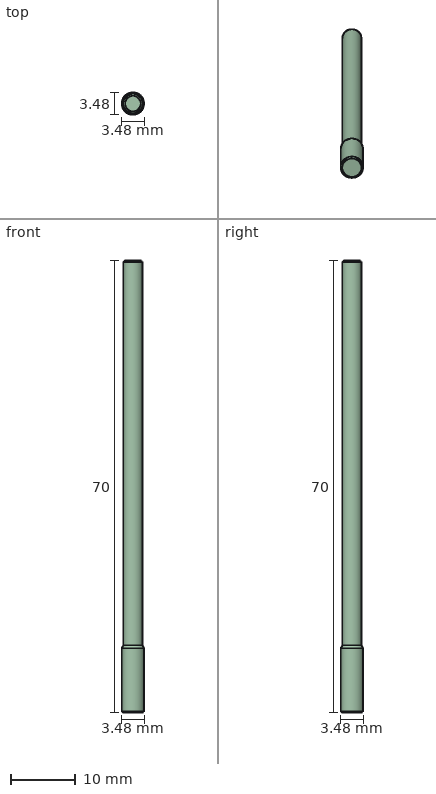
import cadquery as cq
import math

total_length = 70.0

head_diameter = 3.48
head_length = 10.0
head_corner_chamfer = 0.25

shank_diameter = 3.0
shank_end_chamfer = 0.3
neck_half_angle = 30.0

head_radius = head_diameter / 2
shank_radius = shank_diameter / 2
neck_height = (head_radius - shank_radius) / math.tan(math.radians(neck_half_angle))


def make_cutting_head():
    """Plain cylinder with a chamfered corner at its bottom end."""
    head = cq.Workplane("XY").circle(head_radius).extrude(head_length)
    return head.faces("<Z").edges().chamfer(head_corner_chamfer)


def make_shank():
    """Turned rod that tapers from the head diameter and ends in a chamfer."""
    neck_top = head_length + neck_height
    half_profile = (
        cq.Workplane("XZ")
        .moveTo(0, head_length)
        .lineTo(head_radius, head_length)
        .lineTo(shank_radius, neck_top)
        .lineTo(shank_radius, total_length - shank_end_chamfer)
        .lineTo(shank_radius - shank_end_chamfer, total_length)
        .lineTo(0, total_length)
        .close()
    )
    return half_profile.revolve(360, (0, 0, 0), (0, 1, 0))


cutting_head = make_cutting_head()
shank = make_shank()

result = cq.Compound.makeCompound([cutting_head.val(), shank.val()])